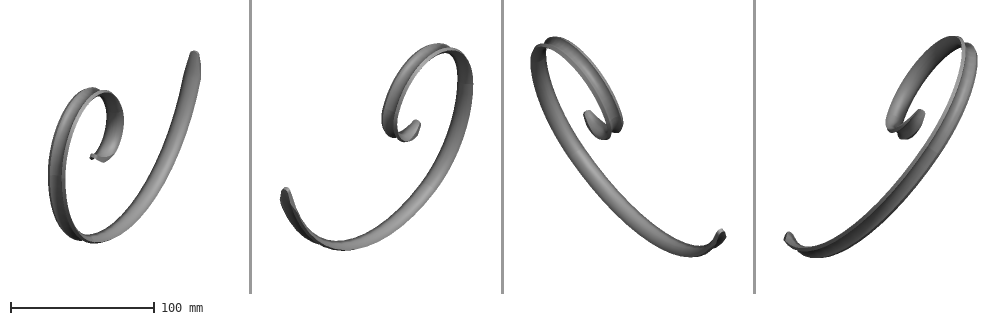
import cadquery as cq
import math

STRIP_WIDTH = 14.0
TUBE_INNER_RADIUS = 5.5
SLICE_HALF_ANGLE = 60
half_width = STRIP_WIDTH / 2
tube_outer_radius = half_width / math.sin(math.radians(SLICE_HALF_ANGLE))

AXIS_RADII = [25.5, 48.5, 77.5, 123.0]
JOINT_ANGLES = [22.7, 180, 245.4]
CURL_TIP_ANGLE = -127
OUTER_TIP_ANGLE = 345.7
CURL_CENTRE = (21.6, 8.7)

TAPER_ANGLE = 13
TIP_HALF_WIDTH = 2.5
TIP_CORNER_RADIUS = 2.5
taper_length = (half_width - TIP_HALF_WIDTH) / math.tan(math.radians(TAPER_ANGLE))

TRIM_MARGIN = 2.0
trim_depth = 2 * tube_outer_radius


def polar(centre, radius, degrees):
    angle = math.radians(degrees)
    return (centre[0] + radius * math.cos(angle), centre[1] + radius * math.sin(angle))


def spiral_centres():
    """Arc centres, each placed so that its arc is tangent to the one before."""
    centres = [CURL_CENTRE]
    for radius, next_radius, joint in zip(AXIS_RADII, AXIS_RADII[1:], JOINT_ANGLES):
        centres.append(polar(centres[-1], radius - next_radius, joint))
    return centres


def spiral_path(centres):
    """Tube axis as one chain of arcs, from the curl tip to the outer tip."""
    limits = [CURL_TIP_ANGLE, *JOINT_ANGLES, OUTER_TIP_ANGLE]
    path = cq.Workplane("YZ").moveTo(*polar(centres[0], AXIS_RADII[0], limits[0]))
    for centre, radius, first, last in zip(centres, AXIS_RADII, limits, limits[1:]):
        middle = (first + last) / 2
        path = path.threePointArc(polar(centre, radius, middle), polar(centre, radius, last))
    return path


def radial_frame(centre, radius, degrees):
    """Point on the tube axis with the unit directions along the radius and the growing angle."""
    point = cq.Vector(0, *polar(centre, radius, degrees))
    radial = cq.Vector(0, *polar((0, 0), 1, degrees))
    tangent = cq.Vector(0, *polar((0, 0), 1, degrees + 90))
    return point, radial, tangent


def strip(centres):
    """Tube wall slice swept along the whole spiral."""
    point, radial, tangent = radial_frame(centres[0], AXIS_RADII[0], CURL_TIP_ANGLE)
    plane = cq.Plane(origin=point, xDir=radial, normal=tangent)

    def ring_point(radius, side):
        return polar((0, 0), radius, 180 + side * SLICE_HALF_ANGLE)

    section = (
        cq.Workplane(plane)
        .moveTo(*ring_point(tube_outer_radius, -1))
        .threePointArc(ring_point(tube_outer_radius, 0), ring_point(tube_outer_radius, 1))
        .lineTo(*ring_point(TUBE_INNER_RADIUS, 1))
        .threePointArc(ring_point(TUBE_INNER_RADIUS, 0), ring_point(TUBE_INNER_RADIUS, -1))
        .close()
    )
    return section.sweep(spiral_path(centres))


def tip_trim(centre, radius, degrees, growth):
    """Material beside the rounded tongue at a tip; growth is +1 if the strip ends
    towards larger angles and -1 if it ends towards smaller ones."""
    point, radial, tangent = radial_frame(centre, radius, degrees)
    plane = cq.Plane(origin=point, xDir=tangent * growth, normal=radial)
    blank = (
        cq.Workplane(plane)
        .center(-taper_length / 2, 0)
        .rect(taper_length, 2 * (half_width + TRIM_MARGIN))
        .extrude(trim_depth, both=True)
    )
    setback = TIP_CORNER_RADIUS * math.tan(math.radians(90 - TAPER_ANGLE) / 2)
    end_point = (0, TIP_HALF_WIDTH - setback)
    side_point = polar((0, TIP_HALF_WIDTH), setback, 180 - TAPER_ANGLE)
    half_tongue = (
        cq.Workplane(plane)
        .lineTo(*end_point)
        .tangentArcPoint(side_point, relative=False)
        .lineTo(-taper_length, half_width)
        .lineTo(-taper_length, 0)
        .close()
        .extrude(trim_depth, both=True)
    )
    return blank.cut(half_tongue).cut(half_tongue.mirror("YZ"))


centres = spiral_centres()
result = (
    strip(centres)
    .cut(tip_trim(centres[0], AXIS_RADII[0], CURL_TIP_ANGLE, -1))
    .cut(tip_trim(centres[-1], AXIS_RADII[-1], OUTER_TIP_ANGLE, 1))
)